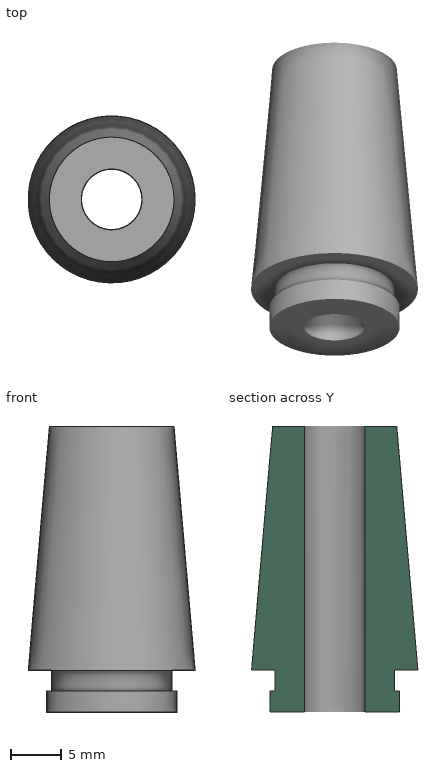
import cadquery as cq

total_height = 28.5
bore_diameter = 6.0
foot_diameter = 13.0
foot_height = 2.15
neck_diameter = 12.0
body_bottom_height = 4.2
body_bottom_diameter = 16.65
body_top_diameter = 12.43


def cylinder(diameter, bottom, top):
    """Upright cylinder on the Z axis between two heights."""
    return cq.Workplane("XY").workplane(offset=bottom).circle(diameter / 2).extrude(top - bottom)


def tapered_body():
    """Cone frustum narrowing from the shoulder to the top face."""
    return (
        cq.Workplane("XY")
        .workplane(offset=body_bottom_height)
        .circle(body_bottom_diameter / 2)
        .workplane(offset=total_height - body_bottom_height)
        .circle(body_top_diameter / 2)
        .loft(ruled=True)
    )


foot = cylinder(foot_diameter, 0, foot_height)
neck = cylinder(neck_diameter, foot_height, body_bottom_height)
bore = cylinder(bore_diameter, 0, total_height)

result = foot.union(neck).union(tapered_body()).cut(bore)